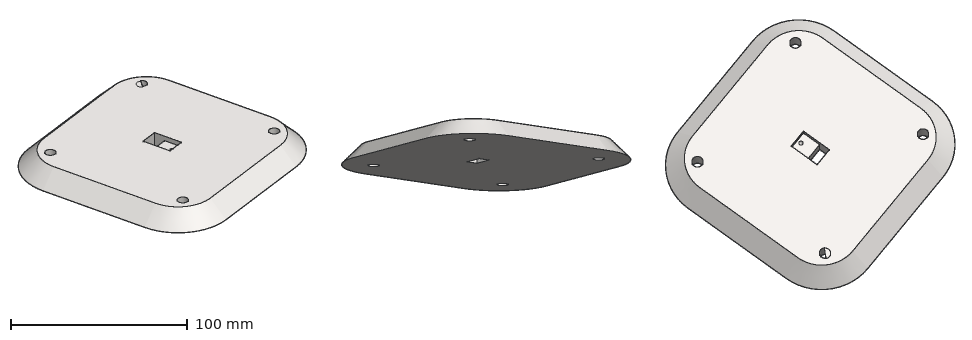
import cadquery as cq

base_size = 136.0
height = 10.7
side_taper = 45.0
base_corner_radius = 33.0

hole_offset = 45.5
hole_diameter = 6.4
web_thickness = 0.5

pocket_length = 18.5
pocket_width = 11.4
pocket_depth = 3.0
window_length = 7.0
pin_hole_diameter = 2.5
pin_hole_x = 6.7
pin_hole_depth = 1.2

pocket_floor = height - pocket_depth


def tapered_plate():
    """Rounded square plate whose four sides and corners slope inward."""
    outline = cq.Sketch().rect(base_size, base_size).vertices().fillet(base_corner_radius)
    return cq.Workplane().placeSketch(outline).extrude(height, taper=side_taper)


def corner_holes():
    """Through holes near the four corners."""
    spacing = 2 * hole_offset
    return (
        cq.Workplane()
        .rect(spacing, spacing, forConstruction=True)
        .vertices()
        .circle(hole_diameter / 2)
        .extrude(height)
    )


def half_web():
    """Thin web over the half of the -X +Y hole that faces -X and -Y."""
    disc = cq.Workplane().circle(hole_diameter / 2).extrude(web_thickness)
    cutter = (
        cq.Workplane()
        .rect(hole_diameter, 2 * hole_diameter)
        .extrude(web_thickness)
        .translate((-hole_diameter / 2, 0, 0))
        .rotate((0, 0, 0), (0, 0, 1), 45)
    )
    return disc.intersect(cutter).translate((-hole_offset, hole_offset, height - web_thickness))


def pocket():
    """Rectangular pocket with a through window at its -X end and a conical pin hole in its floor."""
    recess = (
        cq.Workplane()
        .workplane(offset=pocket_floor)
        .rect(pocket_length, pocket_width)
        .extrude(pocket_depth)
    )
    window = (
        cq.Workplane()
        .center((window_length - pocket_length) / 2, 0)
        .rect(window_length, pocket_width)
        .extrude(height)
    )
    pin_point = cq.Solid.makeCone(
        0,
        pin_hole_diameter / 2,
        pin_hole_depth,
        pnt=cq.Vector(pin_hole_x, 0, pocket_floor - pin_hole_depth),
    )
    return recess.union(window).union(cq.Workplane(pin_point))


result = tapered_plate().cut(corner_holes()).cut(pocket()).union(half_web())